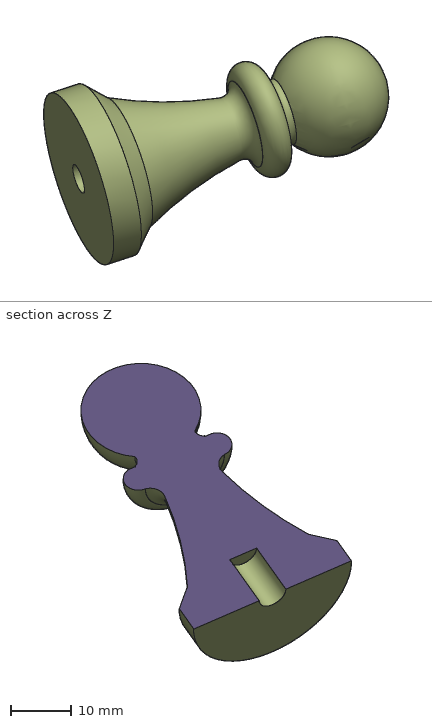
import cadquery as cq
import math


base_radius = 15.0
base_rim_height = 5.0
chamfer_rise = 3.5
base_top = base_rim_height + chamfer_rise
base_top_radius = base_radius - chamfer_rise

stem_top = 27.1
stem_bow = 0.75

collar_radius = 10.0
collar_bottom = 30.0
collar_thickness = 5.0
collar_middle = collar_bottom + collar_thickness / 2
collar_top = collar_bottom + collar_thickness
collar_flat_radius = 7.8

lower_hollow_radius = 2.5
lower_hollow_axis = 7.95
lower_hollow_centre = collar_bottom - lower_hollow_radius
lower_hollow_end_radius = 7.5

upper_hollow_radius = 1.5
upper_hollow_axis = 7.2
upper_hollow_centre = collar_top + upper_hollow_radius
upper_hollow_end_radius = 6.6
neck_top = 37.1

hollow_via_angle = math.radians(30)

head_radius = 10.0
total_height = 55.0
head_centre = total_height - head_radius

hole_diameter = 5.0
hole_depth = 10.0


def other_leg(hypotenuse, leg):
    """Remaining leg of a right triangle, used to place points on the hollow arcs."""
    return math.sqrt(hypotenuse**2 - leg**2)


def make_body():
    """Turned profile from the base to inside the head."""
    via_in = math.cos(hollow_via_angle)
    via_along = math.sin(hollow_via_angle)

    lower_start_radius = lower_hollow_axis - other_leg(lower_hollow_radius, stem_top - lower_hollow_centre)
    lower_via = (
        lower_hollow_axis - lower_hollow_radius * via_in,
        lower_hollow_centre + lower_hollow_radius * via_along,
    )
    lower_end_height = lower_hollow_centre + other_leg(
        lower_hollow_radius, lower_hollow_axis - lower_hollow_end_radius
    )

    upper_start_height = upper_hollow_centre - other_leg(
        upper_hollow_radius, upper_hollow_axis - upper_hollow_end_radius
    )
    upper_via = (
        upper_hollow_axis - upper_hollow_radius * via_in,
        upper_hollow_centre - upper_hollow_radius * via_along,
    )
    neck_radius = upper_hollow_axis - other_leg(upper_hollow_radius, neck_top - upper_hollow_centre)

    stem_mid_radius = (base_top_radius + lower_start_radius) / 2 - stem_bow
    stem_mid_height = (base_top + stem_top) / 2

    profile = (
        cq.Workplane("XY")
        .lineTo(base_radius, 0)
        .lineTo(base_radius, base_rim_height)
        .lineTo(base_top_radius, base_top)
        .threePointArc((stem_mid_radius, stem_mid_height), (lower_start_radius, stem_top))
        .threePointArc(lower_via, (lower_hollow_end_radius, lower_end_height))
        .lineTo(lower_hollow_end_radius, collar_bottom)
        .lineTo(collar_flat_radius, collar_bottom)
        .threePointArc((collar_radius, collar_middle), (collar_flat_radius, collar_top))
        .lineTo(upper_hollow_end_radius, collar_top)
        .lineTo(upper_hollow_end_radius, upper_start_height)
        .threePointArc(upper_via, (neck_radius, neck_top))
        .lineTo(neck_radius, head_centre)
        .lineTo(0, head_centre)
        .close()
    )
    return profile.revolve(360, (0, 0, 0), (0, 1, 0))


def make_head():
    """Ball on top of the neck."""
    return cq.Workplane("XY").sphere(head_radius).translate((0, head_centre, 0))


def make_hole():
    """Cutter for the hole that enters through the base face."""
    return cq.Workplane("XZ").circle(hole_diameter / 2).extrude(-hole_depth)


result = make_body().union(make_head()).cut(make_hole())